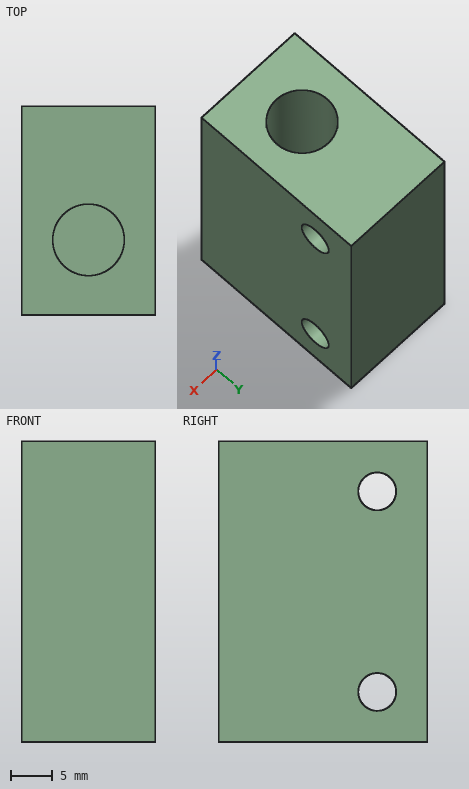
import cadquery as cq

width = 16.0
depth = 25.0
height = 36.0

bore_diameter = 8.55
bore_front_offset = 9.0
bore_depth = 20.0

mount_diameter = 4.5
mount_edge_offset = 6.0

bore_y = bore_front_offset - depth / 2
mount_y = depth / 2 - mount_edge_offset
mount_z = height / 2 - mount_edge_offset


def make_bore():
    top_plane = cq.Workplane("XY", origin=(0, 0, height / 2))
    return top_plane.center(0, bore_y).circle(bore_diameter / 2).extrude(-bore_depth)


def make_mounting_holes():
    side_plane = cq.Workplane("YZ", origin=(-width / 2, 0, 0))
    centres = [(mount_y, mount_z), (mount_y, -mount_z)]
    return side_plane.pushPoints(centres).circle(mount_diameter / 2).extrude(width)


block = cq.Workplane("XY").box(width, depth, height)
result = block.cut(make_bore()).cut(make_mounting_holes())